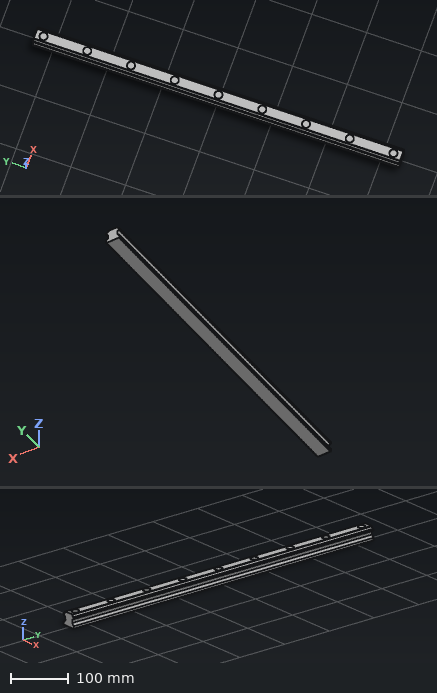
import cadquery as cq
import math

length = 670.0
width = 28.0
height = 26.0

half_width = width / 2
half_top = 9.0
half_neck = 9.5
foot_chamfer = 1.0
neck_bottom = 10.0
foot_top = neck_bottom - (half_width - half_neck)
neck_top = 14.0
head_bottom = 18.0
head_corner_chamfer = 1.0
half_head_corner = half_width - head_corner_chamfer
head_top = 22.0
shoulder_hollow = 0.8
top_chamfer = 0.7

recess_diameter = 14.0
recess_depth = 0.5
recess_pitch = 80.0
recess_count = 9


def half_section():
    """Right half of the waisted rail section, closed along the Z axis."""
    hollow_step = shoulder_hollow * math.sin(math.radians(45))
    overhang = half_head_corner - half_neck
    rise = head_bottom - neck_top
    shoulder_x = half_top + top_chamfer
    shoulder_z = height - top_chamfer
    shoulder_middle = (
        (shoulder_x + half_head_corner) / 2 - hollow_step,
        (shoulder_z + head_top) / 2 - hollow_step,
    )
    return (
        cq.Workplane("XZ")
        .lineTo(half_width - foot_chamfer, 0)
        .lineTo(half_width, foot_chamfer)
        .lineTo(half_width, foot_top)
        .lineTo(half_neck, neck_bottom)
        .lineTo(half_neck, neck_top)
        .tangentArcPoint((overhang, rise))
        .lineTo(half_width, head_bottom + head_corner_chamfer)
        .lineTo(half_width, head_top - head_corner_chamfer)
        .lineTo(half_head_corner, head_top)
        .threePointArc(shoulder_middle, (shoulder_x, shoulder_z))
        .lineTo(half_top, height)
        .lineTo(0, height)
        .close()
    )


def rail_body():
    """Both halves of the section, run along the full length."""
    right_half = half_section().extrude(length / 2, both=True)
    return right_half.union(right_half.mirror("YZ")).clean()


def top_recesses():
    """Cutters for the recesses, evenly spaced and centred along the rail."""
    return (
        cq.Workplane("XY", origin=(0, 0, height - recess_depth))
        .rarray(1, recess_pitch, 1, recess_count)
        .circle(recess_diameter / 2)
        .extrude(recess_depth)
    )


result = rail_body().cut(top_recesses())